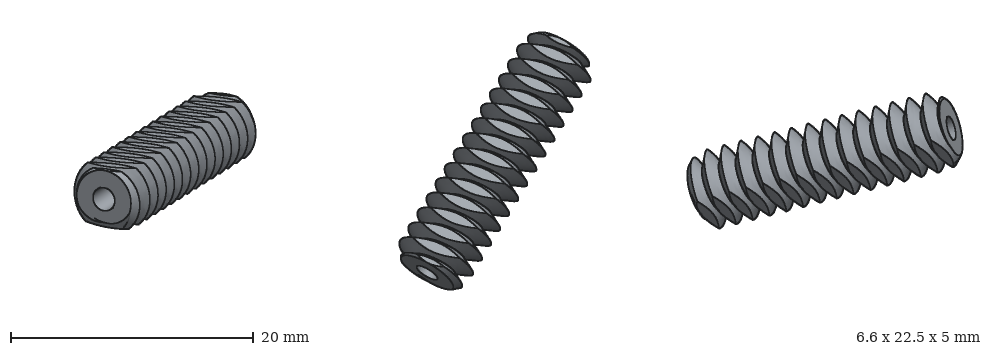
import cadquery as cq
import math

length = 22.5
crest_diameter = 6.6
flat_to_flat = 5.0
bore_diameter = 2.0
end_face_diameter = flat_to_flat

turns = 15
pitch = length / turns
flank_angle = 30.0
root_flat = 0.02
ridge_overlap = 0.05
overrun_turns = 1

crest_radius = crest_diameter / 2
flank_slope = math.tan(math.radians(flank_angle))
ridge_half_width = (pitch - root_flat) / 2
core_radius = crest_radius - ridge_half_width / flank_slope

crest_start = pitch / 4


def thread_ridge():
    """Solid helical ridge around Z, with both ends running past the rod."""
    start = crest_start - overrun_turns * pitch
    height = (turns + 2 * overrun_turns) * pitch

    base_radius = core_radius - ridge_overlap
    corners = [
        (base_radius, -ridge_half_width),
        (core_radius, -ridge_half_width),
        (crest_radius, 0),
        (core_radius, ridge_half_width),
        (base_radius, ridge_half_width),
    ]

    helices = [
        cq.Wire.makeHelix(pitch, height, radius, cq.Vector(0, 0, start + offset))
        for radius, offset in corners
    ]
    next_helices = helices[1:] + helices[:1]
    sides = [cq.Face.makeRuledSurface(*pair) for pair in zip(helices, next_helices)]

    def end_cap(end_position):
        points = [cq.Vector(radius, 0, end_position + offset) for radius, offset in corners]
        return cq.Face.makeFromWires(cq.Wire.makePolygon(points, close=True))

    caps = [end_cap(start), end_cap(start + height)]
    return cq.Workplane(cq.Solid.makeSolid(cq.Shell.makeShell(sides + caps)))


def trimmed_envelope():
    """Rod outline along Z: 45 degree chamfered ends and two flats facing Y."""
    envelope_diameter = crest_diameter + pitch
    chamfer = (envelope_diameter - end_face_diameter) / 2
    cylinder = cq.Workplane("XY").circle(envelope_diameter / 2).extrude(length)
    chamfered = cylinder.edges("%CIRCLE").chamfer(chamfer)
    slab = cq.Workplane("XY").rect(envelope_diameter, flat_to_flat).extrude(length)
    return chamfered.intersect(slab)


core = cq.Workplane("XY").circle(core_radius).circle(bore_diameter / 2).extrude(length)
ridge = thread_ridge().intersect(trimmed_envelope())
rod = core.union(ridge)

result = rod.translate((0, 0, -length / 2)).rotate((0, 0, 0), (1, 0, 0), -90)